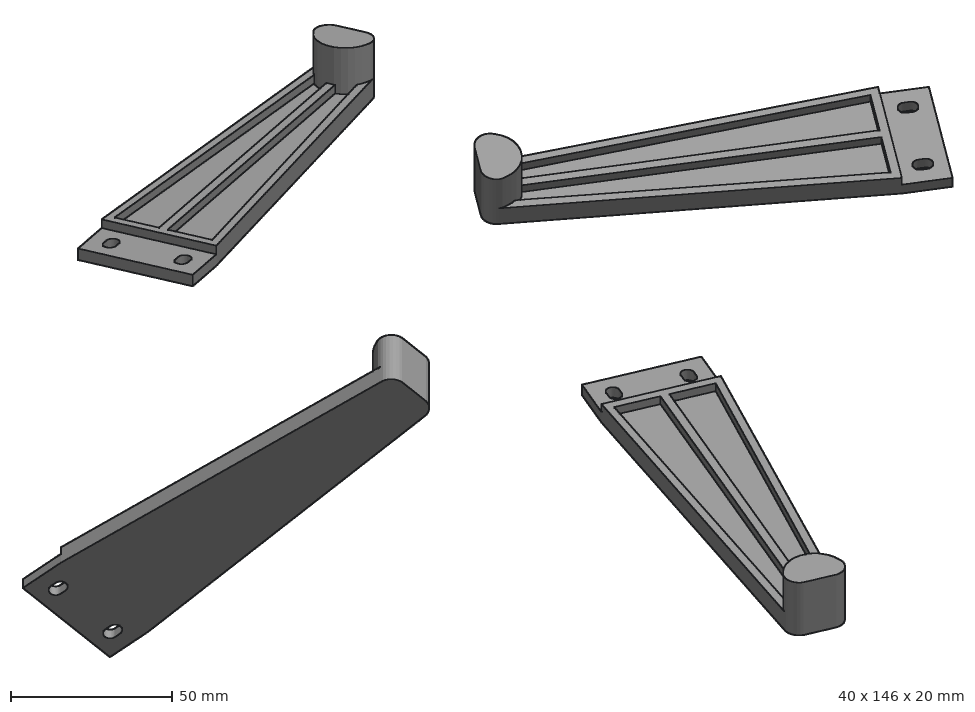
import math

import cadquery as cq

plate_width = 40.0
plate_length = 16.0
plate_thickness = 4.0

slot_spacing = 25.0
slot_length = 6.5
slot_width = 4.4
slot_end_facets = 15
slot_center_y = plate_length / 2

arm_length = 125.0
arm_height = 7.0
arm_end_y = plate_length + arm_length

wall = 3.0
rib_width = 3.0
floor_thickness = 4.0

knob_width = 20.0
knob_height = 20.0
corner_radius = 5.0
corner_start_angle = -12.0
corner_end_angle = 84.0
corner_facets = 8
front_radius = knob_width / 2
front_facets = 11
front_facet_angle = 360 / 28
front_y = 132.2


def arc_points(center_x, center_y, radius, start_angle, end_angle, facets):
    """Vertices of a faceted arc, both ends included; angles in degrees from +X."""
    step = (end_angle - start_angle) / facets
    angles = [math.radians(start_angle + i * step) for i in range(facets + 1)]
    return [(center_x + radius * math.cos(a), center_y + radius * math.sin(a)) for a in angles]


def make_slot(center_x):
    """Cutter for one slot, with faceted round ends."""
    radius = slot_width / 2
    end_offset = slot_length / 2 - radius
    back_end = arc_points(center_x, slot_center_y + end_offset, radius, 0, 180, slot_end_facets)
    front_end = arc_points(center_x, slot_center_y - end_offset, radius, 180, 360, slot_end_facets)
    return cq.Workplane("XY").polyline(back_end + front_end).close().extrude(plate_thickness)


def make_plate():
    """Flat plate with the two slots through it."""
    plate = (
        cq.Workplane("XY")
        .center(0, plate_length / 2)
        .rect(plate_width, plate_length)
        .extrude(plate_thickness)
    )
    for side in (-1, 1):
        plate = plate.cut(make_slot(side * slot_spacing / 2))
    return plate


def make_arm():
    """Arm narrowing from the plate width to the knob width."""
    base_x = plate_width / 2
    end_x = knob_width / 2
    outline = [(-base_x, plate_length), (base_x, plate_length), (end_x, arm_end_y), (-end_x, arm_end_y)]
    return cq.Workplane("XY").polyline(outline).close().extrude(arm_height)


def make_recesses():
    """Recess on each side of the rib; both run on under the knob, which fills their far ends."""
    base_x = plate_width / 2 - wall
    end_x = knob_width / 2 - wall
    recess_y = plate_length + wall
    rib_x = rib_width / 2
    outline = [(rib_x, recess_y), (base_x, recess_y), (end_x, arm_end_y), (rib_x, arm_end_y)]
    right = (
        cq.Workplane("XY")
        .workplane(offset=floor_thickness)
        .polyline(outline)
        .close()
        .extrude(arm_height - floor_thickness)
    )
    return right.union(right.mirror("YZ"))


def make_knob():
    """Upright post at the end of the arm."""
    corner_x = knob_width / 2 - corner_radius
    right_corner = arc_points(
        corner_x, arm_end_y, corner_radius, corner_start_angle, corner_end_angle, corner_facets
    )
    left_corner = [(-x, y) for x, y in reversed(right_corner)]
    front_center_y = front_y + front_radius * math.cos(math.radians(front_facet_angle / 2))
    half_sweep = front_facets * front_facet_angle / 2
    front = arc_points(
        0, front_center_y, front_radius, 270 - half_sweep, 270 + half_sweep, front_facets
    )
    return cq.Workplane("XY").polyline(right_corner + left_corner + front).close().extrude(knob_height)


result = make_plate().union(make_arm().cut(make_recesses())).union(make_knob())